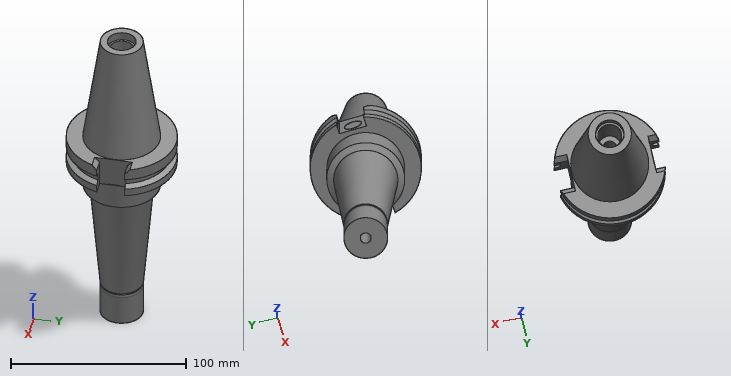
import cadquery as cq

total_height = 195.2
flange_bottom = 108.2
flange_top = 126.7
flange_radius = 31.73
top_radius = 12.3
gauge_radius = 22.3

groove_bottom = 112.9
groove_top = 119.7
groove_bevel_height = 1.4
groove_radius = 28.3

collar_radius = gauge_radius
collar_bottom = 92.2
shoulder_bevel_height = 1.8
nose_large_radius = 18.4
end_radius = 12.5
gap_top = 21.5
gap_height = 1.0
gap_bottom = gap_top - gap_height
gap_neck_radius = 9.4
rim_bevel_height = 1.8
rim_bevel_width = 0.2

bore_steps = [(8.1, 5.0), (6.8, 31.2), (3.8, 97.6), (3.1, total_height)]

slot_width = 16.2
chip_slot_floor = 25.0
plain_slot_floor = 22.6
slot_chamfer = 3.0

chip_radius = 5.0
chip_center_height = 115.8
chip_recess = 0.2
chip_thickness = 4.7


def turned_body():
    """Solid of revolution carrying the taper, the flange and the tool end."""
    profile = [
        (0, 0),
        (end_radius, 0),
        (end_radius, gap_bottom - rim_bevel_height),
        (end_radius - rim_bevel_width, gap_bottom),
        (gap_neck_radius, gap_bottom),
        (gap_neck_radius, gap_top),
        (end_radius, gap_top),
        (nose_large_radius, collar_bottom - shoulder_bevel_height),
        (collar_radius, collar_bottom),
        (collar_radius, flange_bottom),
        (flange_radius, flange_bottom),
        (flange_radius, groove_bottom),
        (groove_radius, groove_bottom + groove_bevel_height),
        (groove_radius, groove_top - groove_bevel_height),
        (flange_radius, groove_top),
        (flange_radius, flange_top),
        (gauge_radius, flange_top),
        (top_radius, total_height),
        (0, total_height),
    ]
    return cq.Workplane("XZ").polyline(profile).close().revolve(360, (0, 0, 0), (0, 1, 0))


def bore_cutter(radius, depth):
    """Cylinder reaching down from the top face."""
    return cq.Workplane("XY", origin=(0, 0, total_height)).circle(radius).extrude(-depth)


def slot_cutter(side, floor):
    """Drive slot with chamfered upper edges; side is -1 or +1 along X."""
    half_width = slot_width / 2
    half_mouth = half_width + slot_chamfer
    outline = [
        (-half_width, flange_bottom),
        (half_width, flange_bottom),
        (half_width, flange_top - slot_chamfer),
        (half_mouth, flange_top),
        (-half_mouth, flange_top),
        (-half_width, flange_top - slot_chamfer),
    ]
    floor_plane = cq.Workplane("YZ", origin=(side * floor, 0, 0))
    return floor_plane.polyline(outline).close().extrude(side * (flange_radius - floor))


def chip_cylinder(start_depth, thickness):
    """Cylinder along +X, starting at a depth below the -X slot floor."""
    start = (start_depth - chip_slot_floor, 0, chip_center_height)
    return cq.Workplane("YZ", origin=start).circle(chip_radius).extrude(thickness)


def make_holder():
    """Tool holder with its bore, drive slots and chip pocket."""
    body = turned_body()
    for radius, depth in bore_steps:
        body = body.cut(bore_cutter(radius, depth))
    for side, floor in ((-1, chip_slot_floor), (1, plain_slot_floor)):
        body = body.cut(slot_cutter(side, floor))
    return body.cut(chip_cylinder(0, chip_recess + chip_thickness))


def make_data_chip():
    """Round chip seated on the floor of its pocket, just below the slot floor."""
    return chip_cylinder(chip_recess, chip_thickness)


holder = make_holder()
data_chip = make_data_chip()

result = cq.Compound.makeCompound([holder.val(), data_chip.val()])